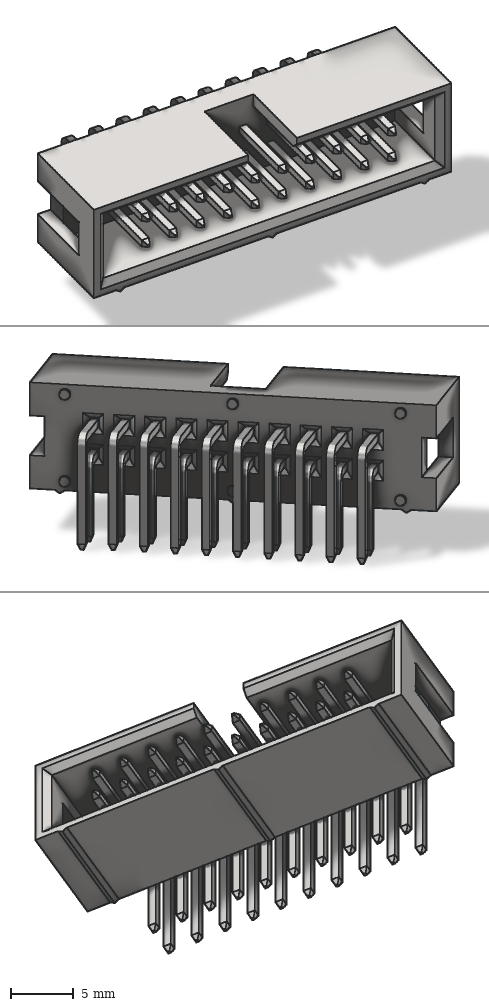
import cadquery as cq

BODY_DEPTH = 8.8
BODY_LENGTH = 33.2
BODY_HEIGHT = 8.8
MID_Z = BODY_HEIGHT / 2

WALL = 1.2
CAVITY_FLOOR_X = 2.0
MOUTH_CHAMFER = 0.55

KEY_WIDTH = 4.5
WINDOW_HEIGHT = 3.3
WINDOW_FRONT_X = 6.4

PITCH = 2.54
COLUMNS = 10
PIN_WIDTH = 0.65
PIN_REACH = 4.45
PIN_DROP = 3.52
PIN_RAISE = 0.05
LAST_COLUMN_SAG = 0.13
PIN_FRONT_X = 8.65
BEND_RADIUS = 0.93
TIP_LENGTH = 0.53
TIP_WIDTH = 0.23
COLUMN_YS = [(i - (COLUMNS - 1) / 2) * PITCH for i in range(COLUMNS)]

ENTRY_WIDTH = 1.7
ENTRY_END_WIDTH = 0.75
ENTRY_DEPTH = 0.5

BUTTON_DIAMETER = 0.85
BUTTON_HEIGHT = 0.25
BUTTON_Y = 13.7
BUTTON_EDGE = 0.8
RIB_Y = 14.15
RIB_WIDTH = 0.8
RIB_HEIGHT = 0.25


def block(x0, x1, width, z0, z1, y=0.0):
    """Box between two X and two Z values, centred on y."""
    solid = cq.Workplane("XY").box(x1 - x0, width, z1 - z0, centered=(False, True, False))
    return solid.translate((x0, y, z0))


def shroud():
    """Housing with the mating cavity, its bevelled mouth, the key slot and the end windows."""
    inner_length = BODY_LENGTH - 2 * WALL
    inner_height = BODY_HEIGHT - 2 * WALL
    body = block(0, BODY_DEPTH, BODY_LENGTH, 0, BODY_HEIGHT)
    body = body.cut(block(CAVITY_FLOOR_X, BODY_DEPTH, inner_length, WALL, BODY_HEIGHT - WALL))
    mouth = (
        cq.Workplane("YZ", origin=(BODY_DEPTH - MOUTH_CHAMFER, 0, MID_Z))
        .rect(inner_length, inner_height)
        .workplane(offset=MOUTH_CHAMFER)
        .rect(inner_length + 2 * MOUTH_CHAMFER, inner_height + 2 * MOUTH_CHAMFER)
        .loft(ruled=True)
    )
    body = body.cut(mouth)
    body = body.cut(block(CAVITY_FLOOR_X, BODY_DEPTH, KEY_WIDTH, MID_Z, BODY_HEIGHT))
    for side in (-1, 1):
        window_y = side * (BODY_LENGTH - WALL) / 2
        window_z = MID_Z - WINDOW_HEIGHT / 2
        body = body.cut(block(0, WINDOW_FRONT_X, WALL, window_z, window_z + WINDOW_HEIGHT, window_y))
    return body


def entry(y, z):
    """Pyramidal recess narrowing from the rear face to just outside the pin."""
    return (
        cq.Workplane("YZ", origin=(0, y, z))
        .rect(ENTRY_WIDTH, ENTRY_WIDTH)
        .workplane(offset=ENTRY_DEPTH)
        .rect(ENTRY_END_WIDTH, ENTRY_END_WIDTH)
        .loft(ruled=True)
    )


def tip(plane, origin, length):
    """Tapered pin end growing along the plane normal by a signed length."""
    return (
        cq.Workplane(plane, origin=origin)
        .rect(PIN_WIDTH, PIN_WIDTH)
        .workplane(offset=length)
        .rect(TIP_WIDTH, TIP_WIDTH)
        .loft(ruled=True)
    )


def pin(y, z, leg_x):
    """Right-angle square pin: contact at height z, leg centred on leg_x."""
    half = PIN_WIDTH / 2
    front = PIN_FRONT_X - TIP_LENGTH
    bottom = TIP_LENGTH - PIN_DROP
    outer = block(leg_x - half, front, PIN_WIDTH, bottom, z + half, y)
    inner = block(leg_x + half, front, PIN_WIDTH, bottom, z - half, y)
    inner = inner.edges("<X and >Z").fillet(BEND_RADIUS - PIN_WIDTH)
    bend = outer.edges("<X and >Z").fillet(BEND_RADIUS).cut(inner)
    contact_tip = tip("YZ", (front, y, z), TIP_LENGTH)
    leg_tip = tip("XY", (leg_x, y, bottom), -TIP_LENGTH)
    return bend.union(contact_tip).union(leg_tip)


def button(y, z):
    """Round stand-off on the rear face."""
    return cq.Workplane("YZ", origin=(0, y, z)).circle(BUTTON_DIAMETER / 2).extrude(-BUTTON_HEIGHT)


def rib(y):
    """V-shaped crush rib along the seating face."""
    return (
        cq.Workplane("YZ", origin=(0, y, 0))
        .moveTo(-RIB_WIDTH / 2, 0)
        .lineTo(RIB_WIDTH / 2, 0)
        .lineTo(0, -RIB_HEIGHT)
        .close()
        .extrude(BODY_DEPTH)
    )


result = shroud()

outer_leg_x = PIN_WIDTH / 2 - PIN_REACH
pin_rows = (
    (MID_Z + PITCH / 2, outer_leg_x),
    (MID_Z - PITCH / 2, outer_leg_x + PITCH),
)
for row_z, row_leg_x in pin_rows:
    for column_y in COLUMN_YS:
        result = result.cut(entry(column_y, row_z))
        column_pin = pin(column_y, row_z + PIN_RAISE, row_leg_x)
        if column_y == COLUMN_YS[-1]:
            column_pin = column_pin.translate((0, 0, -LAST_COLUMN_SAG))
        result = result.union(column_pin)

for button_y in (-BUTTON_Y, 0, BUTTON_Y):
    for button_z in (BUTTON_EDGE, BODY_HEIGHT - BUTTON_EDGE):
        result = result.union(button(button_y, button_z))

for rib_y in (-RIB_Y, 0, RIB_Y):
    result = result.union(rib(rib_y))